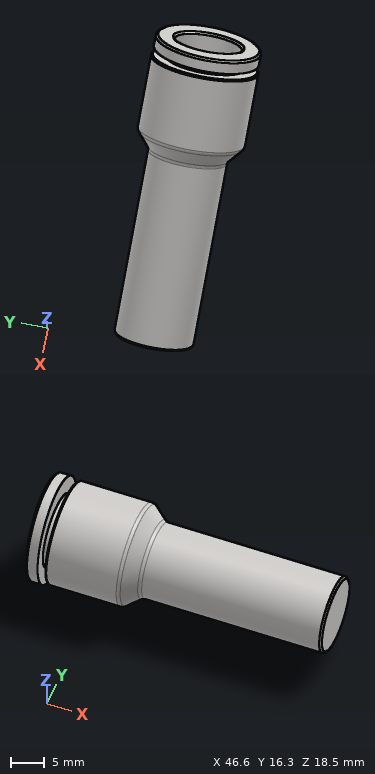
import cadquery as cq

overall_length = 46.6

collar_thickness = 2.0
collar_width = 16.0
collar_height = 18.5
collar_chamfer = 0.33

neck_diameter = 11.7

body_start = 3.2
body_diameter = 16.3
body_chamfer = 0.25
cone_start = 14.95
cone_end = 17.55
cone_blend_radius = 0.9

stem_diameter = 12.0
stem_chamfer = 0.33

bore_diameter = 10.15
bore_chamfer = 0.33
bore_depth = cone_start


def rod(diameter, start, end):
    """Cylinder along X between two axial positions."""
    return cq.Workplane("YZ", origin=(start, 0, 0)).circle(diameter / 2).extrude(end - start)


def make_collar():
    """Oval release collar with a chamfered outer face."""
    collar = cq.Workplane("YZ").ellipse(collar_width / 2, collar_height / 2).extrude(collar_thickness)
    return collar.faces("<X").chamfer(collar_chamfer)


def make_body_and_stem():
    """Turned body that tapers to the stem, with both ends of the taper blended."""
    body_radius = body_diameter / 2
    stem_radius = stem_diameter / 2
    search_margin = 0.05
    profile = [
        (body_start, 0),
        (body_start, body_radius),
        (cone_start, body_radius),
        (cone_end, stem_radius),
        (overall_length, stem_radius),
        (overall_length, 0),
    ]
    turned = cq.Workplane("XY").polyline(profile).close().revolve(360, (0, 0, 0), (1, 0, 0))
    for edge_position in (cone_start, cone_end):
        near_edge = cq.selectors.BoxSelector(
            (edge_position - search_margin, -body_diameter, -body_diameter),
            (edge_position + search_margin, body_diameter, body_diameter),
        )
        turned = turned.edges(near_edge).fillet(cone_blend_radius)
    turned = turned.faces("<X").chamfer(body_chamfer)
    return turned.faces(">X").chamfer(stem_chamfer)


def make_bore():
    """Blind tube socket with a chamfered mouth."""
    bore_radius = bore_diameter / 2
    profile = [
        (0, 0),
        (0, bore_radius + bore_chamfer),
        (bore_chamfer, bore_radius),
        (bore_depth, bore_radius),
        (bore_depth, 0),
    ]
    return cq.Workplane("XY").polyline(profile).close().revolve(360, (0, 0, 0), (1, 0, 0))


neck = rod(neck_diameter, collar_thickness, body_start)
result = make_collar().union(neck).union(make_body_and_stem()).cut(make_bore())